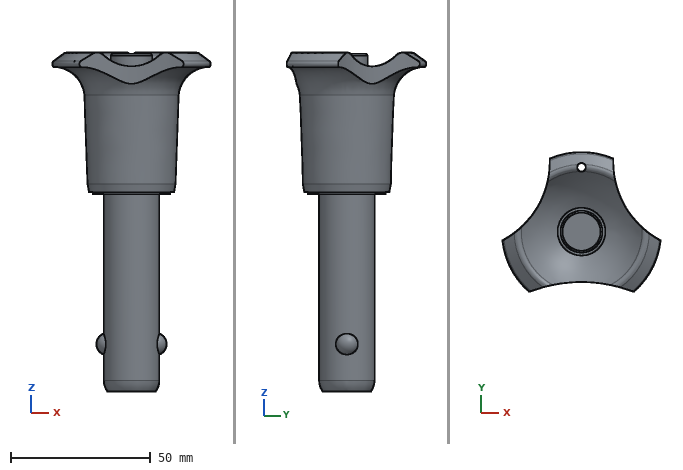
import math

import cadquery as cq


pin_length = 121.2

handle_height = 50.6
body_top_radius = 16.9
body_top_z = -15.1
body_bottom_radius = 15.8
base_taper_top_z = -46.9
base_edge_radius = 15.25
base_edge_z = -49.9
collar_radius = 13.9
flare_radius = 11.0

rim_radius = 28.5
crest_round = 1.8
nose_round = 1.3
nose_z = -4.1
nose_end_angle = math.radians(-57)

bowl_radius = 26.3
bowl_center_z = 14.2
bowl_floor_radius = 8.55

scallop_depth = 18.05
side_scallop_angles = (30, 150)
side_scallop_radius = 31.5
front_scallop_angle = 270
front_scallop_radius = 51.5

lanyard_hole_diameter = 3.0
lanyard_hole_y = 23.0

button_radius = 7.5
button_top_z = -0.4
button_chamfer = 0.7

shank_radius = 10.0
tip_radius = 8.65
tip_length = 4.1

ball_radius = 4.0
ball_center_x = 8.6
ball_tip_distance = 16.95
ball_center_z = ball_tip_distance - pin_length


def on_circle(center, radius, angle):
    return (center[0] + radius * math.cos(angle), center[1] + radius * math.sin(angle))


def make_handle():
    """Handle blank, revolved from a half profile in the XZ plane."""
    floor_z = bowl_center_z - math.sqrt(bowl_radius**2 - bowl_floor_radius**2)

    reach = bowl_radius + crest_round
    rise = bowl_center_z + crest_round
    crest_center = (math.sqrt(reach**2 - rise**2), -crest_round)
    bowl_center = (0, bowl_center_z)
    bowl_end_angle = -math.asin(rise / reach)
    floor_angle = -math.acos(bowl_floor_radius / bowl_radius)
    bowl_end = on_circle(bowl_center, bowl_radius, bowl_end_angle)
    bowl_mid = on_circle(bowl_center, bowl_radius, (bowl_end_angle + floor_angle) / 2)

    nose_center = (rim_radius - nose_round, nose_z)
    run = nose_center[0] - crest_center[0]
    drop = nose_center[1] - crest_center[1]
    cone_angle = math.atan2(drop, run) + math.acos((crest_round - nose_round) / math.hypot(run, drop))
    cone_top = on_circle(crest_center, crest_round, cone_angle)
    cone_bottom = on_circle(nose_center, nose_round, cone_angle)
    crest_top = (crest_center[0], 0)
    nose_tip = (rim_radius, nose_z)
    nose_end = on_circle(nose_center, nose_round, nose_end_angle)

    profile = (
        cq.Workplane("XZ")
        .moveTo(0, floor_z)
        .lineTo(bowl_floor_radius, floor_z)
        .threePointArc(bowl_mid, bowl_end)
        .threePointArc(crest_top, cone_top)
        .lineTo(*cone_bottom)
        .tangentArcPoint(nose_tip, relative=False)
        .tangentArcPoint(nose_end, relative=False)
        .radiusArc((body_top_radius, body_top_z), -flare_radius)
        .lineTo(body_bottom_radius, base_taper_top_z)
        .lineTo(base_edge_radius, base_edge_z)
        .lineTo(collar_radius, base_edge_z)
        .lineTo(collar_radius, -handle_height)
        .lineTo(0, -handle_height)
        .close()
    )
    return profile.revolve(360, (0, 0), (0, 1))


def make_scallop(angle, radius):
    """Upright cylinder whose nearest line is at the scallop depth from the pin axis."""
    scallop = cq.Workplane("XY").center(scallop_depth + radius, 0).circle(radius).extrude(-handle_height)
    return scallop.rotate((0, 0, 0), (0, 0, 1), angle)


def make_lanyard_hole():
    hole = cq.Workplane("XY").center(0, lanyard_hole_y).circle(lanyard_hole_diameter / 2)
    return hole.extrude(-handle_height)


def make_button():
    button = cq.Workplane("XY").workplane(offset=button_top_z).circle(button_radius)
    return button.extrude(-handle_height / 2).faces(">Z").chamfer(button_chamfer)


def make_shank():
    """Shank from the middle of the handle to the tip, whose lead-in arc is tangent to its side."""
    profile = (
        cq.Workplane("XZ")
        .moveTo(0, -handle_height / 2)
        .lineTo(shank_radius, -handle_height / 2)
        .lineTo(shank_radius, tip_length - pin_length)
        .tangentArcPoint((tip_radius, -pin_length), relative=False)
        .lineTo(0, -pin_length)
        .close()
    )
    return profile.revolve(360, (0, 0), (0, 1))


def make_ball(side):
    return cq.Workplane("XY").sphere(ball_radius).translate((side * ball_center_x, 0, ball_center_z))


result = make_handle()
for scallop_angle in side_scallop_angles:
    result = result.cut(make_scallop(scallop_angle, side_scallop_radius))
result = result.cut(make_scallop(front_scallop_angle, front_scallop_radius))
result = result.cut(make_lanyard_hole())
result = result.union(make_button()).union(make_shank())
for ball_side in (-1, 1):
    result = result.union(make_ball(ball_side))